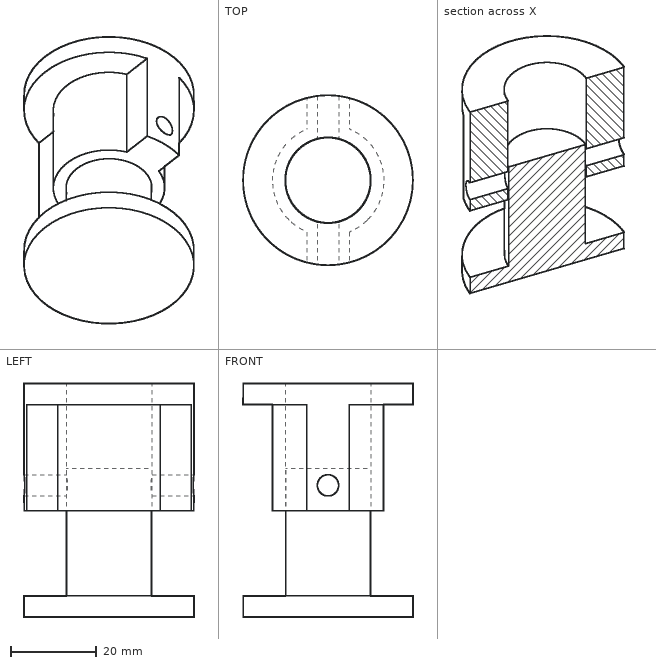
import cadquery as cq

total_height = 55.0
flange_diameter = 40.0
flange_thickness = 5.0

shaft_diameter = 20.0
shaft_length = 30.0
shaft_top = flange_thickness + shaft_length

sleeve_length = 30.0
sleeve_wall = 3.0
bore_clearance = 0.2
bore_diameter = shaft_diameter + bore_clearance
sleeve_diameter = bore_diameter + 2 * sleeve_wall
sleeve_bottom = total_height - sleeve_length
flange_bottom = total_height - flange_thickness

lug_width = 10.0

screw_hole_diameter = 5.0
screw_hole_rise = 6.0
screw_hole_height = sleeve_bottom + screw_hole_rise


def make_cylinder(diameter, bottom, top):
    """Solid cylinder on the Z axis between two heights."""
    return cq.Workplane("XY").workplane(offset=bottom).circle(diameter / 2).extrude(top - bottom)


def make_post():
    """Foot disc with the shaft on top."""
    foot = make_cylinder(flange_diameter, 0, flange_thickness)
    shaft = make_cylinder(shaft_diameter, flange_thickness, shaft_top)
    return foot.union(shaft)


def make_lugs():
    """Bar across the sleeve along Y, its ends rounded to the flange rim."""
    bar = (
        cq.Workplane("XY")
        .workplane(offset=sleeve_bottom)
        .rect(lug_width, flange_diameter)
        .extrude(sleeve_length)
    )
    return bar.intersect(make_cylinder(flange_diameter, sleeve_bottom, total_height))


def make_screw_hole():
    """Cutter along Y that passes through both lugs."""
    return (
        cq.Workplane("XZ")
        .center(0, screw_hole_height)
        .circle(screw_hole_diameter / 2)
        .extrude(flange_diameter / 2, both=True)
    )


def make_sleeve():
    """Flanged tube with two lugs, bored through and cross-drilled."""
    tube = make_cylinder(sleeve_diameter, sleeve_bottom, total_height)
    flange = make_cylinder(flange_diameter, flange_bottom, total_height)
    bore = make_cylinder(bore_diameter, sleeve_bottom, total_height)
    return tube.union(flange).union(make_lugs()).cut(bore).cut(make_screw_hole())


post = make_post()
sleeve = make_sleeve()

result = cq.Compound.makeCompound([post.val(), sleeve.val()])